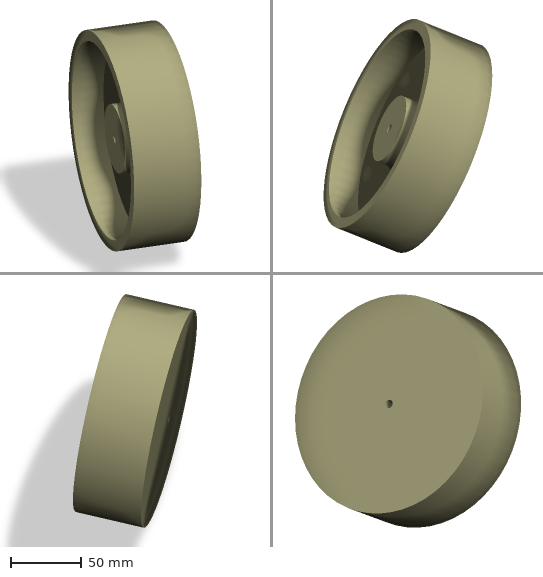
import cadquery as cq

outer_diameter = 159.2
width = 50.0
tread_thickness = 2.5
recess_diameter = 143.2
hub_diameter = 50.0
hub_height = 13.5
hub_setback = 10.0
hub_fillet = 3.0
bore_diameter = 6.0

rim_diameter = outer_diameter - 2 * tread_thickness
recess_depth = hub_setback + hub_height
front_y = -width / 2
floor_y = front_y + recess_depth


def disc(diameter, start_y, length):
    """Cylinder on the wheel axis, running from start_y toward +Y."""
    plane = cq.Plane(origin=(0, start_y, 0), xDir=(1, 0, 0), normal=(0, 1, 0))
    return cq.Workplane(plane).circle(diameter / 2).extrude(length)


wheel = disc(rim_diameter, front_y, width)
wheel = wheel.cut(disc(recess_diameter, front_y, recess_depth))

wheel = wheel.union(disc(hub_diameter, floor_y - hub_height, hub_height))
hub_root = cq.selectors.BoxSelector(
    (-hub_diameter, floor_y - hub_fillet / 2, -hub_diameter),
    (hub_diameter, floor_y + hub_fillet / 2, hub_diameter),
    boundingbox=True,
)
wheel = wheel.edges(hub_root).fillet(hub_fillet)

wheel = wheel.cut(disc(bore_diameter, front_y, width))

tread = disc(outer_diameter, front_y, width).cut(disc(rim_diameter, front_y, width))
result = wheel.union(tread, clean=False)